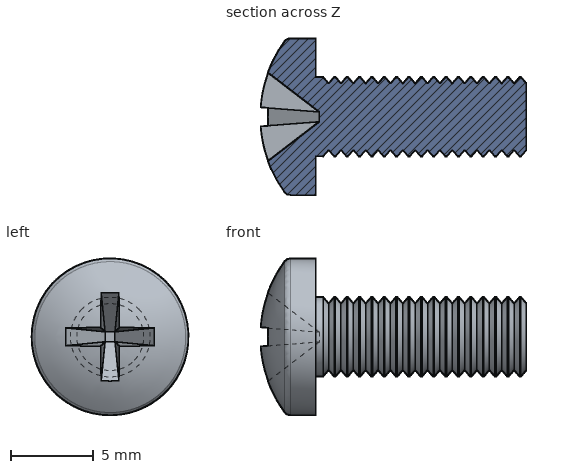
import cadquery as cq
import math

length = 16.03

head_diameter = 9.47
head_radius = head_diameter / 2
head_back = 3.33
dome_radius = 7.75
edge_fillet = 0.45

shank_radius = 2.4
root_radius = 2.02
thread_start = 3.77
ridge_count = 16
crest_flat = 0.08
first_root = 4.1
pitch = (length - first_root) / ridge_count

slot_width = 1.14
slot_length = 6.0
floor_width = 0.6
recess_depth = 3.53
tool_overrun = 0.8

rim_corner_radius = slot_width / math.sqrt(2)
dome_center = math.sqrt(dome_radius**2 - rim_corner_radius**2)
dome_apex = dome_center - dome_radius


def dome_x(radius):
    """X of the dome surface at a distance from the screw axis."""
    return dome_center - math.sqrt(dome_radius**2 - radius**2)


def make_head():
    mid_radius = head_radius / 2
    outline = (
        cq.Workplane("XY")
        .moveTo(dome_apex, 0)
        .threePointArc((dome_x(mid_radius), mid_radius), (dome_x(head_radius), head_radius))
        .lineTo(head_back, head_radius)
        .lineTo(head_back, 0)
        .close()
    )
    head = outline.revolve(360, (0, 0, 0), (1, 0, 0))
    return head.faces("%CYLINDER").edges("<X").fillet(edge_fillet)


def make_threaded_shank():
    """Plain neck followed by ring-shaped thread ridges, ending on a root."""
    outline = (
        cq.Workplane("XY")
        .moveTo(head_back, 0)
        .lineTo(head_back, shank_radius)
        .lineTo(thread_start, shank_radius)
        .lineTo(first_root, root_radius)
    )
    for ridge in range(ridge_count):
        crest = first_root + (ridge + 0.5) * pitch
        outline = (
            outline.lineTo(crest - crest_flat / 2, shank_radius)
            .lineTo(crest + crest_flat / 2, shank_radius)
            .lineTo(first_root + (ridge + 1) * pitch, root_radius)
        )
    return outline.lineTo(length, 0).close().revolve(360, (0, 0, 0), (1, 0, 0))


def make_recess_arm():
    """Tapered slot along Y, carried past the rim at the same taper."""
    overrun_ratio = tool_overrun / recess_depth
    mouth_length = slot_length + (slot_length - floor_width) * overrun_ratio
    mouth_width = slot_width + (slot_width - floor_width) * overrun_ratio
    return (
        cq.Workplane("YZ", origin=(-tool_overrun, 0, 0))
        .rect(mouth_length, mouth_width)
        .workplane(offset=tool_overrun + recess_depth)
        .rect(floor_width, floor_width)
        .loft(ruled=True)
    )


recess_arm = make_recess_arm()
crossing_arm = recess_arm.rotate((0, 0, 0), (1, 0, 0), 90)

result = make_head().union(make_threaded_shank()).cut(recess_arm).cut(crossing_arm)